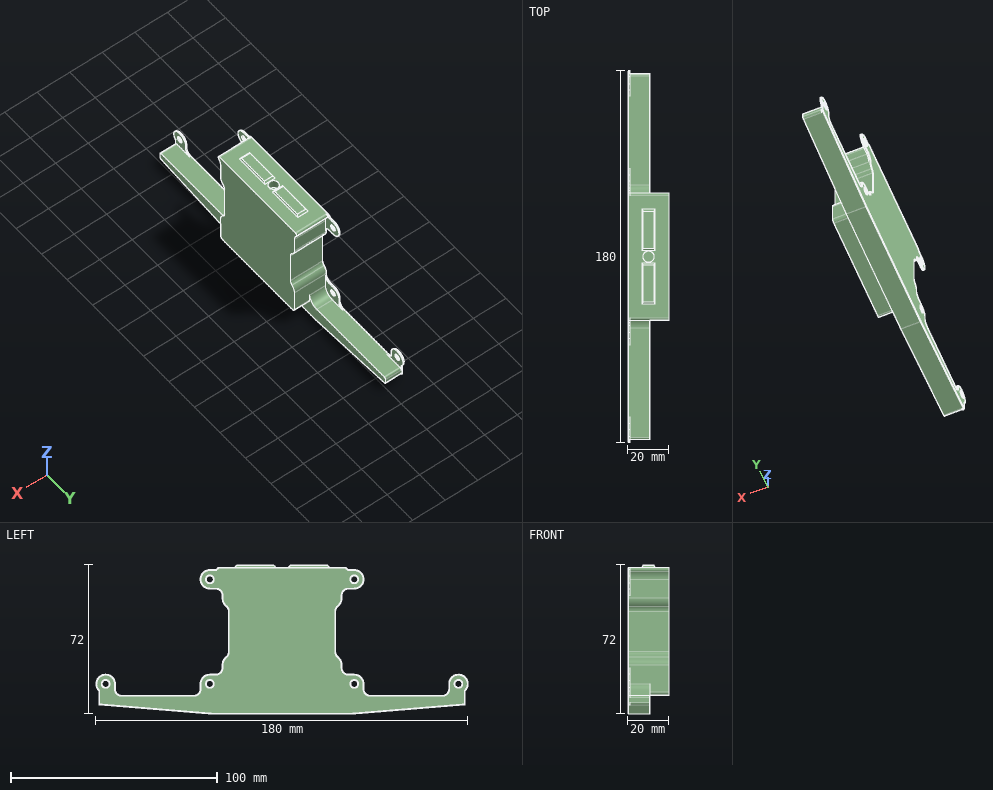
import cadquery as cq
import math

width = 180.0
height = 72.0
depth = 20.0
foot_depth = 10.6

plate_thickness = 1.0
edge_chamfer = 0.4
hole_diameter = 3.5
lug_radius = 4.7
plate_fillet = 3.0
shoulder_y = 30.8

inner_hole_y = 35.0
outer_hole_y = width / 2 - lug_radius
lower_hole_z = 14.5
upper_hole_z = 65.2
middle_z = (lower_hole_z + upper_hole_z) / 2

pad_height = 1.0
body_top = height - pad_height
relief_radius = 5.5
wall_y = 29.0
relief_center_y = wall_y + relief_radius
arm_top = lower_hole_z - relief_radius
lip_round = 1.17
bottom_round = 1.6

waist_y = 26.0
shoulder_bend = 5.2
waist_bend = 3.2
bend_cos = 1 - (wall_y - waist_y) / (shoulder_bend + waist_bend)
bend_sin = math.sqrt(1 - bend_cos**2)
waist_half_height = 9.7
bend_joint_y = waist_y + waist_bend * (1 - bend_cos)
bend_joint_rise = waist_half_height + waist_bend * bend_sin
bend_end_rise = bend_joint_rise + shoulder_bend * bend_sin

foot_end_y = 88.5
foot_end_bottom = 4.5
flat_bottom_y = 34.0
foot_end_round = 1.0

pad_length = 20.0
pad_width = 6.3
pad_end_taper = 1.0
pad_side_taper = 0.5
pad_center_y = 13.0
dimple_diameter = 5.4
dimple_depth = 5.4

diagonal = math.sqrt(0.5)


def both_sides(half):
    """Complete a +Y half with its mirror image."""
    return half.union(half.mirror("XZ")).clean()


def waist_down(outline):
    """Trace one side of the waist from the upper wall to the lower wall."""
    return (
        outline.lineTo(wall_y, middle_z + bend_end_rise)
        .tangentArcPoint((bend_joint_y, middle_z + bend_joint_rise), relative=False)
        .tangentArcPoint((waist_y, middle_z + waist_half_height), relative=False)
        .lineTo(waist_y, middle_z - waist_half_height)
        .tangentArcPoint((bend_joint_y, middle_z - bend_joint_rise), relative=False)
        .tangentArcPoint((wall_y, middle_z - bend_end_rise), relative=False)
    )


def make_plate():
    """Thin plate with screw lugs and a chamfered outer face."""
    fillet_mid = plate_fillet * (1 - diagonal)
    lug_mid = lug_radius * diagonal
    upper_lug_top = upper_hole_z + lug_radius
    upper_lug_bottom = upper_hole_z - lug_radius
    lower_lug_top = lower_hole_z + lug_radius
    inner_lug_edge = inner_hole_y + lug_radius
    outer_lug_edge = outer_hole_y - lug_radius
    lug_end_z = lower_hole_z - math.sqrt(lug_radius**2 - (foot_end_y - outer_hole_y) ** 2)

    outline = (
        cq.Workplane("YZ")
        .moveTo(0, body_top)
        .lineTo(shoulder_y, body_top)
        .lineTo(shoulder_y + body_top - upper_lug_top, upper_lug_top)
        .lineTo(inner_hole_y, upper_lug_top)
        .threePointArc((inner_lug_edge, upper_hole_z), (inner_hole_y, upper_lug_bottom))
        .lineTo(wall_y + plate_fillet, upper_lug_bottom)
        .threePointArc(
            (wall_y + fillet_mid, upper_lug_bottom - fillet_mid),
            (wall_y, upper_lug_bottom - plate_fillet),
        )
    )
    outline = (
        waist_down(outline)
        .lineTo(wall_y, lower_lug_top + plate_fillet)
        .threePointArc(
            (wall_y + fillet_mid, lower_lug_top + fillet_mid),
            (wall_y + plate_fillet, lower_lug_top),
        )
        .lineTo(inner_hole_y, lower_lug_top)
        .threePointArc(
            (inner_hole_y + lug_mid, lower_hole_z + lug_mid),
            (inner_lug_edge, lower_hole_z),
        )
        .lineTo(inner_lug_edge, arm_top + plate_fillet)
        .threePointArc(
            (inner_lug_edge + fillet_mid, arm_top + fillet_mid),
            (inner_lug_edge + plate_fillet, arm_top),
        )
        .lineTo(outer_lug_edge - plate_fillet, arm_top)
        .threePointArc(
            (outer_lug_edge - fillet_mid, arm_top + fillet_mid),
            (outer_lug_edge, arm_top + plate_fillet),
        )
        .lineTo(outer_lug_edge, lower_hole_z)
        .threePointArc(
            (outer_hole_y + lug_mid, lower_hole_z + lug_mid),
            (foot_end_y, lug_end_z),
        )
        .lineTo(foot_end_y, foot_end_bottom)
        .lineTo(flat_bottom_y, 0)
        .lineTo(0, 0)
        .close()
    )
    holes = [
        (inner_hole_y, upper_hole_z),
        (inner_hole_y, lower_hole_z),
        (outer_hole_y, lower_hole_z),
    ]
    drills = cq.Workplane("YZ").pushPoints(holes).circle(hole_diameter / 2).extrude(plate_thickness)
    plate = both_sides(outline.extrude(plate_thickness).cut(drills))
    return plate.faces("<X").edges().chamfer(edge_chamfer)


def make_body():
    """Full-depth block with screw-head reliefs under its top lip."""
    lip_center_z = body_top - lip_round
    center_distance = relief_radius + lip_round
    relief_angle = math.asin((lip_center_z - upper_hole_z) / center_distance)
    lip_center_y = relief_center_y - center_distance * math.cos(relief_angle)
    bottom_mid = bottom_round * (1 - diagonal)
    outline = (
        cq.Workplane("YZ", origin=(edge_chamfer, 0, 0))
        .moveTo(0, body_top)
        .lineTo(lip_center_y, body_top)
        .threePointArc(
            (lip_center_y + lip_round, lip_center_z),
            (
                relief_center_y - relief_radius * math.cos(relief_angle),
                upper_hole_z + relief_radius * math.sin(relief_angle),
            ),
        )
        .tangentArcPoint((wall_y, upper_hole_z), relative=False)
    )
    outline = (
        waist_down(outline)
        .lineTo(wall_y, arm_top + bottom_round)
        .threePointArc(
            (wall_y - bottom_mid, arm_top + bottom_mid),
            (wall_y - bottom_round, arm_top),
        )
        .lineTo(0, arm_top)
        .close()
    )
    return both_sides(outline.extrude(depth - edge_chamfer))


def make_foot():
    """Shallow foot whose arms taper toward rounded ends."""
    relief_mid = relief_radius * diagonal
    half = (
        cq.Workplane("YZ", origin=(edge_chamfer, 0, 0))
        .moveTo(0, lower_hole_z)
        .lineTo(wall_y, lower_hole_z)
        .threePointArc(
            (relief_center_y - relief_mid, lower_hole_z - relief_mid),
            (relief_center_y, arm_top),
        )
        .lineTo(foot_end_y, arm_top)
        .lineTo(foot_end_y, foot_end_bottom)
        .lineTo(flat_bottom_y, 0)
        .lineTo(0, 0)
        .close()
        .extrude(foot_depth - edge_chamfer)
        .faces(">Y")
        .edges("|X")
        .fillet(foot_end_round)
    )
    return both_sides(half)


def make_pad():
    """Raised pad with sloping sides."""
    return (
        cq.Workplane("XY", origin=(depth / 2, pad_center_y, body_top))
        .rect(pad_width, pad_length)
        .workplane(offset=pad_height)
        .rect(pad_width - 2 * pad_side_taper, pad_length - 2 * pad_end_taper)
        .loft(ruled=True)
    )


dimple = (
    cq.Workplane("XY", origin=(depth / 2, 0, body_top - dimple_depth))
    .circle(dimple_diameter / 2)
    .extrude(dimple_depth)
)

result = make_plate().union(make_body()).union(make_foot())
result = result.union(both_sides(make_pad())).cut(dimple).clean()